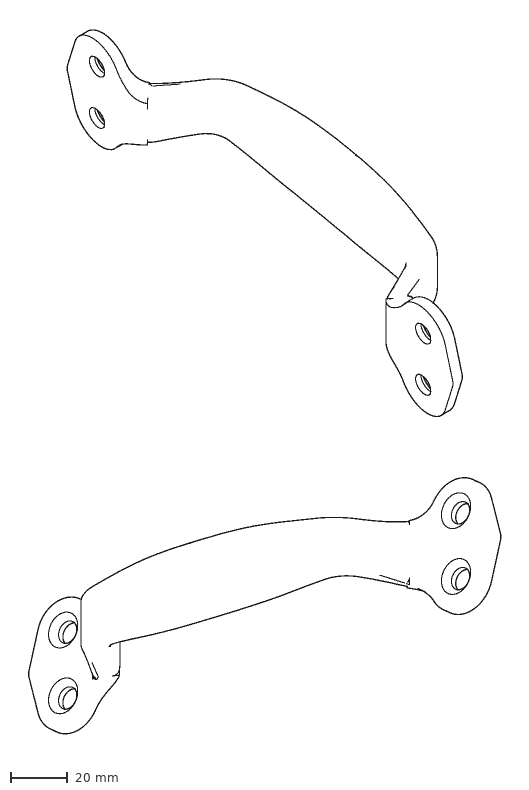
import cadquery as cq
import math

total_length = 210.0
total_depth = 41.93
half_length = total_length / 2

plate_thickness = 5.0
lobe_radius = 12.5
lobe_x = 88.75
lobe_z = 12.5
tip_radius = 5.5
plate_edge_radius = 1.2

hole_diameter = 8.2
hole_straight_depth = 2.5
countersink_slope = 1.0

grip_half_width = 13.0
bow_waist = (54.0, 9.7)
grip_swell = (28.0, 12.1)
neck_flare = (71.0, 12.3)
neck_end_angle = math.radians(150)

grip_thickness = 14.7
outer_bow_radius = 235.0
inner_bow_radius = 530.0
leg_angle = math.radians(62)
leg_foot_outer_x = 74.2
leg_foot_inner_x = 65.6
outer_bend_radius = 18.0
inner_bend_radius = 11.0
outer_foot_radius = 10.0
inner_foot_radius = 12.0

outer_crest_rounding = 3.3
outer_foot_rounding = 1.6
inner_rounding = 3.0

joint_outer = (71.7, 9.8)
joint_inner = (65.0, 3.1)


def bow(x, crest, radius):
    """Height at x of an arc that is level at x = 0 and falls away from its crest."""
    return crest - radius + math.sqrt(radius**2 - x**2)


def edge_touching(body, point):
    """Edge of the body that passes closest to a point."""
    target = cq.Vertex.makeVertex(*point)
    return min(body.edges().vals(), key=target.distance)


def leg_meets_bow(foot_x, foot_y, crest, radius):
    """Point where the sloping leg line reaches the bow arc."""
    centre_y = crest - radius
    step_x = -math.cos(leg_angle)
    step_y = math.sin(leg_angle)
    rise_y = foot_y - centre_y
    along = foot_x * step_x + rise_y * step_y
    length = -along + math.sqrt(along**2 - foot_x**2 - rise_y**2 + radius**2)
    return foot_x + length * step_x, foot_y + length * step_y


def side_blank():
    """Side outline of the +X half (plate, leg and bow), extruded through Z."""
    inner_crest = total_depth - grip_thickness
    outer_bend = leg_meets_bow(leg_foot_outer_x, plate_thickness, total_depth, outer_bow_radius)
    inner_bend = leg_meets_bow(leg_foot_inner_x, 0, inner_crest, inner_bow_radius)
    outer_mid_x = outer_bend[0] / 2
    inner_mid_x = inner_bend[0] / 2
    blank = (
        cq.Workplane("XY")
        .moveTo(0, total_depth)
        .threePointArc((outer_mid_x, bow(outer_mid_x, total_depth, outer_bow_radius)), outer_bend)
        .lineTo(leg_foot_outer_x, plate_thickness)
        .lineTo(half_length, plate_thickness)
        .lineTo(half_length, 0)
        .lineTo(leg_foot_inner_x, 0)
        .lineTo(*inner_bend)
        .threePointArc((inner_mid_x, bow(inner_mid_x, inner_crest, inner_bow_radius)), (0, inner_crest))
        .close()
        .extrude(half_length, both=True)
    )
    corners = [
        (outer_bend, outer_bend_radius),
        (inner_bend, inner_bend_radius),
        ((leg_foot_outer_x, plate_thickness), outer_foot_radius),
        ((leg_foot_inner_x, 0), inner_foot_radius),
    ]
    for (x, y), radius in corners:
        blank = blank.edges(cq.selectors.NearestToPointSelector((x, y, 0))).fillet(radius)
    return blank


def flank_direction():
    """Outward angle of the straight flank that touches both the lobe and the tip."""
    run_x = half_length - tip_radius - lobe_x
    span = math.hypot(run_x, lobe_z)
    return math.acos((lobe_radius - tip_radius) / span) - math.atan2(lobe_z, run_x)


def on_lobe(angle):
    """Point of the lobe circle in the given direction from its centre."""
    return lobe_x + lobe_radius * math.cos(angle), lobe_z + lobe_radius * math.sin(angle)


def on_tip(angle):
    """Point of the tip circle in the given direction from its centre."""
    return half_length - tip_radius + tip_radius * math.cos(angle), tip_radius * math.sin(angle)


def front_blank():
    """Front outline of the +X half (grip, neck and lobed plate), extruded through Y."""
    flank = flank_direction()
    neck_end_tangent = (math.sin(neck_end_angle), -math.cos(neck_end_angle))
    upper = (
        cq.Workplane("XZ")
        .lineTo(0, grip_half_width)
        .spline(
            [grip_swell, bow_waist, neck_flare, on_lobe(neck_end_angle)],
            tangents=[(1, 0), neck_end_tangent],
            includeCurrent=True,
        )
        .threePointArc(on_lobe(math.pi / 2), on_lobe(flank))
        .lineTo(*on_tip(flank))
        .threePointArc(on_tip(flank / 2), on_tip(0))
        .close()
        .extrude(total_depth, both=True)
    )
    return upper.mirror("XY", union=True)


def plate_side_cutter():
    """Block covering everything on the plate side of the joint line."""
    slope = (joint_outer[0] - joint_inner[0]) / (joint_outer[1] - joint_inner[1])
    top_x = joint_inner[0] + slope * (total_depth - joint_inner[1])
    bottom_x = joint_inner[0] - slope * joint_inner[1]
    return (
        cq.Workplane("XY")
        .polyline([(bottom_x, 0), (half_length, 0), (half_length, total_depth), (top_x, total_depth)])
        .close()
        .extrude(half_length, both=True)
    )


def round_long_edge(body, near, crest_radius, foot_radius):
    """Round the long grip edge nearest a point, tapering from crest to foot."""
    edge = edge_touching(body, near)
    radii = (crest_radius, foot_radius)
    if edge.startPoint().x > edge.endPoint().x:
        radii = (foot_radius, crest_radius)
    rounding = cq.occ_impl.shapes.BRepFilletAPI_MakeFillet(body.val().wrapped)
    rounding.Add(*radii, edge.wrapped)
    return cq.Workplane(cq.Shape.cast(rounding.Shape()))


def rounded_grip(body):
    """Grip half with its long outer and inner edges rounded."""
    body = cq.Workplane(body.solids().val())
    x, half_width = grip_swell
    outer_y = bow(x, total_depth, outer_bow_radius)
    inner_y = bow(x, total_depth - grip_thickness, inner_bow_radius)
    for z in (-half_width, half_width):
        body = round_long_edge(body, (x, outer_y, z), outer_crest_rounding, outer_foot_rounding)
        body = round_long_edge(body, (x, inner_y, z), inner_rounding, inner_rounding)
    return body


def screw_hole(z):
    """Straight hole from the mounting face that opens into a countersink."""
    radius = hole_diameter / 2
    mouth_radius = radius + countersink_slope * (plate_thickness - hole_straight_depth)
    outline = (
        cq.Workplane("XY")
        .polyline([
            (0, 0),
            (radius, 0),
            (radius, hole_straight_depth),
            (mouth_radius, plate_thickness),
            (0, plate_thickness),
        ])
        .close()
    )
    return outline.revolve(360, (0, 0, 0), (0, 1, 0)).translate((lobe_x, 0, z))


def rounded_plate(body):
    """Plate and foot with the rim of the raised face rounded, and the screw holes."""
    solid = body.solids().val()
    rim_point = (lobe_x, plate_thickness, lobe_z + lobe_radius)
    rim_edge = edge_touching(body, rim_point)
    plate_body = cq.Workplane(solid.fillet(plate_edge_radius, [rim_edge]))
    for z in (-lobe_z, lobe_z):
        plate_body = plate_body.cut(screw_hole(z))
    return plate_body


half_body = side_blank().intersect(front_blank())
plate_side = plate_side_cutter()
grip = rounded_grip(half_body.cut(plate_side))
plate = rounded_plate(half_body.intersect(plate_side))
half_handle = grip.union(plate)
result = half_handle.union(half_handle.mirror("YZ"))